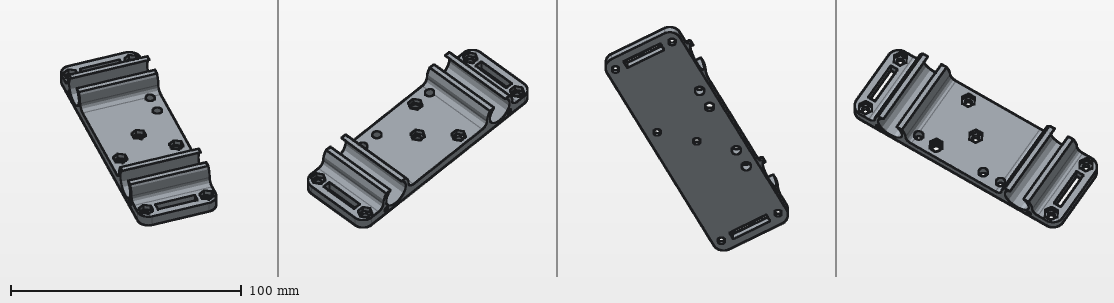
import cadquery as cq
import math

length = 106.0
width = 36.0
plate_thickness = 5.0
corner_radius = 5.0

total_height = 13.0
clip_x = 32.5
clip_axis_z = 8.0
clip_outer_radius = 8.0
bore_radius = 6.1
root_fillet_radius = 3.0

pin_hole_diameter = 2.2
pin_hole_x = 38.6
pin_hole_z = plate_thickness / 2

end_feature_x = 47.7
end_screw_y = 14.0
slot_width = 3.5
slot_length = 18.2

screw_diameter = 3.2
large_hole_diameter = 4.0
nut_across_corners = 6.4
nut_pocket_depth = 2.5
inner_hole_x = 12.1
outer_hole_x = 21.0
hole_row_y = 12.9

mirror_sides = (-1, 1)


def make_plate():
    plate = cq.Workplane("XY").box(length, width, plate_thickness, centered=(True, True, False))
    return plate.edges("|Z").fillet(corner_radius)


def make_clip(x):
    """Solid clip: a flat-topped round wall blended into the plate by concave root arcs."""
    fillet_z = plate_thickness + root_fillet_radius
    center_distance = clip_outer_radius + root_fillet_radius
    fillet_offset = math.sqrt(center_distance**2 - (fillet_z - clip_axis_z) ** 2)
    contact_ratio = clip_outer_radius / center_distance
    contact_offset = fillet_offset * contact_ratio
    contact_z = clip_axis_z + (fillet_z - clip_axis_z) * contact_ratio
    top_half_width = math.sqrt(clip_outer_radius**2 - (total_height - clip_axis_z) ** 2)

    root_angle = (math.pi / 2 + math.atan2(fillet_z - contact_z, fillet_offset - contact_offset)) / 2
    root_mid_offset = fillet_offset - root_fillet_radius * math.cos(root_angle)
    root_mid_z = fillet_z - root_fillet_radius * math.sin(root_angle)
    wall_start = math.atan2(contact_z - clip_axis_z, contact_offset)
    wall_end = math.atan2(total_height - clip_axis_z, top_half_width)
    wall_angle = (wall_start + wall_end) / 2
    wall_mid_offset = clip_outer_radius * math.cos(wall_angle)
    wall_mid_z = clip_axis_z + clip_outer_radius * math.sin(wall_angle)

    return (
        cq.Workplane("XZ", origin=(x, 0, 0))
        .moveTo(-fillet_offset, 0)
        .lineTo(fillet_offset, 0)
        .lineTo(fillet_offset, plate_thickness)
        .threePointArc((root_mid_offset, root_mid_z), (contact_offset, contact_z))
        .threePointArc((wall_mid_offset, wall_mid_z), (top_half_width, total_height))
        .lineTo(-top_half_width, total_height)
        .threePointArc((-wall_mid_offset, wall_mid_z), (-contact_offset, contact_z))
        .threePointArc((-root_mid_offset, root_mid_z), (-fillet_offset, plate_thickness))
        .close()
        .extrude(width / 2, both=True)
    )


def lengthwise_cylinder(x, z, radius):
    return cq.Workplane("XZ").center(x, z).circle(radius).extrude(width / 2, both=True)


def vertical_holes(points, diameter):
    return cq.Workplane("XY").pushPoints(points).circle(diameter / 2).extrude(total_height)


def nut_pockets(points):
    pocket_floor = cq.Workplane("XY", origin=(0, 0, plate_thickness - nut_pocket_depth))
    return pocket_floor.pushPoints(points).polygon(6, nut_across_corners).extrude(nut_pocket_depth)


def strap_slots():
    centers = [(side * end_feature_x, 0) for side in mirror_sides]
    return cq.Workplane("XY").pushPoints(centers).rect(slot_width, slot_length).extrude(plate_thickness)


end_screws = [(sx * end_feature_x, sy * end_screw_y) for sx in mirror_sides for sy in mirror_sides]
small_screws = end_screws + [(0, 0), (inner_hole_x, -hole_row_y)]
large_nut_hole = (inner_hole_x, hole_row_y)
large_holes = [
    (-outer_hole_x, hole_row_y),
    (-inner_hole_x, hole_row_y),
    large_nut_hole,
    (outer_hole_x, hole_row_y),
]

result = make_plate()
for side in mirror_sides:
    result = result.union(make_clip(side * clip_x))
for side in mirror_sides:
    result = result.cut(lengthwise_cylinder(side * clip_x, clip_axis_z, bore_radius))
    result = result.cut(lengthwise_cylinder(side * pin_hole_x, pin_hole_z, pin_hole_diameter / 2))
result = result.cut(vertical_holes(small_screws, screw_diameter))
result = result.cut(vertical_holes(large_holes, large_hole_diameter))
result = result.cut(nut_pockets(small_screws + [large_nut_hole]))
result = result.cut(strap_slots())